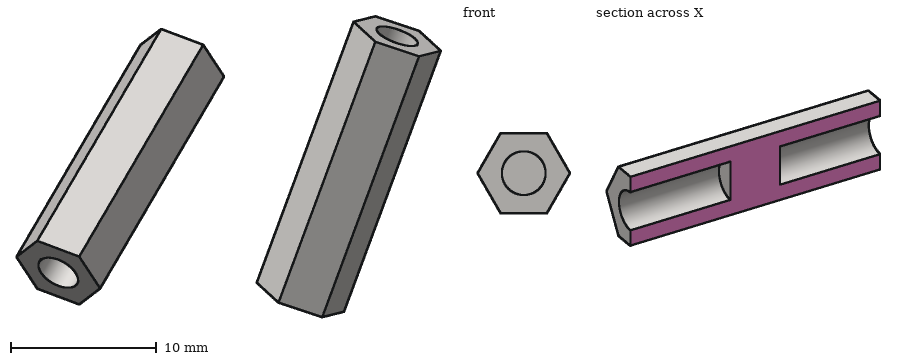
import cadquery as cq
import math

length = 20.0
across_flats = 5.5
hole_diameter = 3.0
hole_depth = 8.0

across_corners = across_flats / math.cos(math.radians(30))


def end_hole(end_face):
    """Return a blind hole cutter that enters through the given end of the spacer."""
    return spacer.faces(end_face).workplane().circle(hole_diameter / 2).extrude(-hole_depth, combine=False)


spacer = cq.Workplane("XZ").polygon(6, across_corners).extrude(length / 2, both=True)

result = spacer
for end_face in ("<Y", ">Y"):
    result = result.cut(end_hole(end_face))